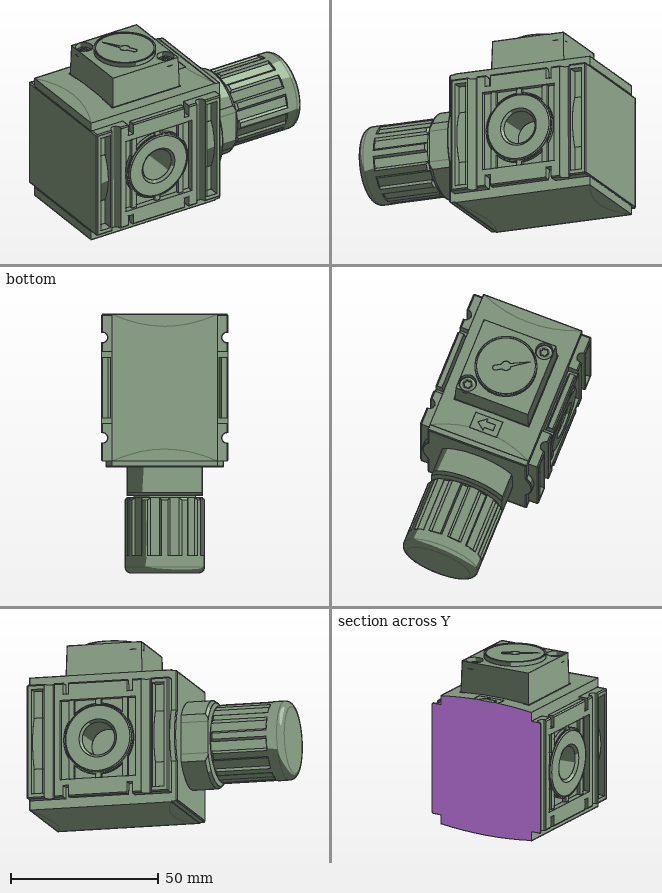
import cadquery as cq
import math


TOTAL_LENGTH = 88.0
TOTAL_WIDTH = 43.0

BODY_HALF_X = 17.95
FRONT_Y = -25.0
BACK_Y = 27.0
CROWN_Z = 24.1
CROWN_DROP = 1.1
CROWN_EDGE_Z = CROWN_Z - CROWN_DROP
BEVEL_LENGTH = 4.1
CAP_DIAMETER = 40.0
BACK_CHAMFER = 0.35
COLLAR_STEP = 0.2
COLLAR_BACK_Z = 22.6

PLATE_HALF_X = TOTAL_WIDTH / 2
PLATE_HALF_Z = 19.8
PLATE_BACK_Y = -FRONT_Y
PLATE_CHAMFER = 0.4
GROOVE_Y = 17.1
GROOVE_RADIUS = 1.8
GROOVE_INSET = 0.35
GROOVE_AXIS_X = PLATE_HALF_X - GROOVE_INSET
SLOT_HEIGHT = 36.3
SLOT_WIDTH = 4.0
SLOT_Y = 21.4
NOTCH_Y = 11.3
NOTCH_WIDTH = 1.9
NOTCH_BOTTOM_Z = 15.8
GAP_TOP_X = 19.4
GAP_FLOOR_X = 18.5
FRONT_GROOVE = 0.4
WINDOW_WIDTH = 26.6
WINDOW_HEIGHT = 27.5
WINDOW_FLOOR_X = 19.45
RIB_TOP_X = 20.7
RIB_WIDTH = 1.85
RAIL_Y = 9.4

PORT_FLANGE_DIAMETER = 24.5
PORT_FACE_DIAMETER = 23.5
PORT_FACE_X = 21.3
PORT_FACE_CHAMFER = 0.4
PORT_BORE = 11.4
PORT_MOUTH = 13.2
PORT_DEPTH = 13.2

BONNET_END_Y = 36.6
BONNET_RADIUS = 15.05
BONNET_CHAMFER_RADIAL = 0.8
BONNET_CHAMFER_AXIAL = 1.1
BONNET_WIDTH = 25.8
BONNET_FLAT_X = BONNET_WIDTH / 2
BONNET_FLAT_HALF_Z = 5.5
BONNET_SIDE_HALF_Z = 8.2
NECK_DIAMETER = 21.0
KNOB_START_Y = 37.4
KNOB_END_Y = FRONT_Y + TOTAL_LENGTH
KNOB_DIAMETER = 27.0
KNOB_RADIUS = KNOB_DIAMETER / 2
KNOB_FILLET = 2.1
KNOB_CHAMFER = 0.7
PANEL_COUNT = 12
PANEL_END_Y = 57.1
PANEL_DEPTH = 0.8
PANEL_FLOOR_RADIUS = KNOB_RADIUS - PANEL_DEPTH
PANEL_FLOOR_WIDTH = 3.3
PANEL_HALF_ANGLE = math.radians(10.5)

GAUGE_TOP_Z = 34.5
GAUGE_TOP_WIDTH = 26.2
GAUGE_BASE_WIDTH = 26.8
GAUGE_POCKET_WIDTH = 27.4
GAUGE_POCKET_Z = 23.2
DIAL_DIAMETER = 21.0
DIAL_INNER_DIAMETER = 20.0
DIAL_TOP_Z = 36.0
DIAL_RECESS = 0.2
NEEDLE_HEIGHT = 0.1
NEEDLE_HUB_RADIUS = 1.7
NEEDLE_TIP = 8.5
NEEDLE_TAIL = 3.7
NEEDLE_TAIL_WIDTH = 1.8
NEEDLE_ROOT_WIDTH = 1.4
NEEDLE_ANGLE = 31
SCREW_OFFSET = 10.0
SCREW_HOLE_DIAMETER = 5.9
SCREW_SEAT_Z = 32.0
SCREW_HEAD_DIAMETER = 5.6
SCREW_HEAD_HEIGHT = 1.2
SCREW_HEAD_FILLET = 1.1
SOCKET_CORE_DIAMETER = 2.3
SOCKET_LOBE_DIAMETER = 0.8
SOCKET_LOBE_OFFSET = 1.1
SOCKET_LOBES = 6
SOCKET_DEPTH = 0.7

PAD_WIDTH = 9.9
PAD_FRONT_Y = 15.6
PAD_BACK_Y = 21.4
PAD_BASE_Z = 22.9
ARROW_DEPTH = 0.1
ARROW_LENGTH = 6.0
ARROW_HEAD_LENGTH = 2.7
ARROW_HEAD_WIDTH = 4.4
ARROW_SHAFT_WIDTH = 2.2


def box(x_min, x_max, y_min, y_max, z_min, z_max):
    corner = cq.Vector(x_min, y_min, z_min)
    solid = cq.Solid.makeBox(x_max - x_min, y_max - y_min, z_max - z_min, corner)
    return cq.Workplane(obj=solid)


def cylinder_y(diameter, y_min, y_max):
    plane = cq.Workplane("XZ", origin=(0, y_min, 0))
    return plane.circle(diameter / 2).extrude(-(y_max - y_min))


def cylinder_x(diameter, x_min, x_max):
    return cq.Workplane("YZ", origin=(x_min, 0, 0)).circle(diameter / 2).extrude(x_max - x_min)


def central_body():
    crowned = (
        cq.Workplane("XZ", origin=(0, FRONT_Y, 0))
        .moveTo(-BODY_HALF_X, -CROWN_EDGE_Z)
        .threePointArc((0, -CROWN_Z), (BODY_HALF_X, -CROWN_EDGE_Z))
        .lineTo(BODY_HALF_X, CROWN_EDGE_Z)
        .threePointArc((0, CROWN_Z), (-BODY_HALF_X, CROWN_EDGE_Z))
        .close()
        .extrude(-(BACK_Y - FRONT_Y))
    )
    collar_front_z = CROWN_EDGE_Z - COLLAR_STEP
    flat_end_y = PLATE_BACK_Y - BEVEL_LENGTH
    bevelled = (
        cq.Workplane("YZ", origin=(-BODY_HALF_X, 0, 0))
        .polyline([
            (FRONT_Y, -CROWN_EDGE_Z),
            (-flat_end_y, -CROWN_Z),
            (flat_end_y, -CROWN_Z),
            (PLATE_BACK_Y, -CROWN_EDGE_Z),
            (PLATE_BACK_Y, -collar_front_z),
            (BACK_Y, -COLLAR_BACK_Z),
            (BACK_Y, COLLAR_BACK_Z),
            (PLATE_BACK_Y, collar_front_z),
            (PLATE_BACK_Y, CROWN_EDGE_Z),
            (flat_end_y, CROWN_Z),
            (-flat_end_y, CROWN_Z),
            (FRONT_Y, CROWN_EDGE_Z),
        ])
        .close()
        .extrude(2 * BODY_HALF_X)
    )
    return crowned.intersect(bevelled).faces(">Y").chamfer(BACK_CHAMFER)


def side_plate():
    """Plate with port on the +X side, without the central body."""
    height = 2 * PLATE_HALF_Z
    plate = box(0, PLATE_HALF_X, FRONT_Y, PLATE_BACK_Y, -PLATE_HALF_Z, PLATE_HALF_Z)
    plate = plate.faces(">X").chamfer(PLATE_CHAMFER)

    for side in (-1, 1):
        groove = (
            cq.Workplane("XY", origin=(0, side * GROOVE_Y, -PLATE_HALF_Z))
            .moveTo(GROOVE_AXIS_X, 0)
            .circle(GROOVE_RADIUS)
            .extrude(height)
        )
        mouth = box(
            GROOVE_AXIS_X, PLATE_HALF_X,
            side * GROOVE_Y - GROOVE_RADIUS, side * GROOVE_Y + GROOVE_RADIUS,
            -PLATE_HALF_Z, PLATE_HALF_Z,
        )
        slot = box(
            BODY_HALF_X, PLATE_HALF_X,
            side * SLOT_Y - SLOT_WIDTH / 2, side * SLOT_Y + SLOT_WIDTH / 2,
            -SLOT_HEIGHT / 2, SLOT_HEIGHT / 2,
        )
        plate = plate.cut(groove).cut(mouth).cut(slot)

    for z_min, z_max in ((NOTCH_BOTTOM_Z, PLATE_HALF_Z), (-PLATE_HALF_Z, -NOTCH_BOTTOM_Z)):
        for side in (-1, 1):
            notch = box(
                BODY_HALF_X, PLATE_HALF_X,
                side * NOTCH_Y - NOTCH_WIDTH / 2, side * NOTCH_Y + NOTCH_WIDTH / 2,
                z_min, z_max,
            )
            plate = plate.cut(notch)

    for side in (-1, 1):
        gap = (
            cq.Workplane("XZ", origin=(0, -NOTCH_Y, 0))
            .polyline([
                (BODY_HALF_X, side * NOTCH_BOTTOM_Z),
                (GAP_FLOOR_X, side * NOTCH_BOTTOM_Z),
                (GAP_TOP_X, side * PLATE_HALF_Z),
                (BODY_HALF_X, side * PLATE_HALF_Z),
            ])
            .close()
            .extrude(-2 * NOTCH_Y)
        )
        plate = plate.cut(gap)

    window = box(
        WINDOW_FLOOR_X, PLATE_HALF_X,
        -WINDOW_WIDTH / 2, WINDOW_WIDTH / 2,
        -WINDOW_HEIGHT / 2, WINDOW_HEIGHT / 2,
    )
    plate = plate.cut(window)
    for rib_y in (-RAIL_Y, 0, RAIL_Y):
        rib = box(
            WINDOW_FLOOR_X, RIB_TOP_X,
            rib_y - RIB_WIDTH / 2, rib_y + RIB_WIDTH / 2,
            -WINDOW_HEIGHT / 2, WINDOW_HEIGHT / 2,
        )
        plate = plate.union(rib)

    plate = plate.union(cylinder_x(PORT_FLANGE_DIAMETER, BODY_HALF_X, RIB_TOP_X))
    face = cylinder_x(PORT_FACE_DIAMETER, RIB_TOP_X, PORT_FACE_X)
    return plate.union(face.faces(">X").chamfer(PORT_FACE_CHAMFER))


def front_groove(side):
    """Bevel along a front edge of the plates, running on across the body."""
    return (
        cq.Workplane("YZ", origin=(-PLATE_HALF_X, 0, 0))
        .polyline([
            (FRONT_Y, side * (PLATE_HALF_Z - FRONT_GROOVE)),
            (FRONT_Y + FRONT_GROOVE, side * PLATE_HALF_Z),
            (FRONT_Y, side * PLATE_HALF_Z),
        ])
        .close()
        .extrude(2 * PLATE_HALF_X)
    )


def port_bore():
    """Blind bore on the +X side with a countersunk mouth."""
    countersink = (PORT_MOUTH - PORT_BORE) / 2
    bottom_x = PORT_FACE_X - PORT_DEPTH
    return (
        cq.Workplane("XY")
        .polyline([
            (bottom_x, 0),
            (bottom_x, PORT_BORE / 2),
            (PORT_FACE_X - countersink, PORT_BORE / 2),
            (PORT_FACE_X, PORT_MOUTH / 2),
            (PORT_FACE_X, 0),
        ])
        .close()
        .revolve(360, (0, 0, 0), (1, 0, 0))
    )


def bonnet():
    """Round collar with a flat and two slightly leaning flanks on each side."""
    chamfer_radius = BONNET_RADIUS - BONNET_CHAMFER_RADIAL
    turned = (
        cq.Workplane("XY")
        .polyline([
            (0, BACK_Y),
            (BONNET_RADIUS, BACK_Y),
            (BONNET_RADIUS, BONNET_END_Y - BONNET_CHAMFER_AXIAL),
            (chamfer_radius, BONNET_END_Y),
            (0, BONNET_END_Y),
        ])
        .close()
        .revolve(360, (0, 0, 0), (0, 1, 0))
    )
    flank_x = math.sqrt(BONNET_RADIUS ** 2 - BONNET_SIDE_HALF_Z ** 2)
    outline = (
        cq.Workplane("XZ", origin=(0, BACK_Y, 0))
        .moveTo(BONNET_FLAT_X, -BONNET_FLAT_HALF_Z)
        .lineTo(BONNET_FLAT_X, BONNET_FLAT_HALF_Z)
        .lineTo(flank_x, BONNET_SIDE_HALF_Z)
        .threePointArc((0, BONNET_RADIUS), (-flank_x, BONNET_SIDE_HALF_Z))
        .lineTo(-BONNET_FLAT_X, BONNET_FLAT_HALF_Z)
        .lineTo(-BONNET_FLAT_X, -BONNET_FLAT_HALF_Z)
        .lineTo(-flank_x, -BONNET_SIDE_HALF_Z)
        .threePointArc((0, -BONNET_RADIUS), (flank_x, -BONNET_SIDE_HALF_Z))
        .close()
        .extrude(-(BONNET_END_Y - BACK_Y))
    )
    return turned.intersect(outline)


def knob():
    """Turned knob with sunken panels whose sides slope down to a flat floor."""
    grip = cylinder_y(KNOB_DIAMETER, KNOB_START_Y, KNOB_END_Y)
    grip = grip.faces(">Y").edges().fillet(KNOB_FILLET)
    grip = grip.faces("<Y").edges().chamfer(KNOB_CHAMFER)

    floor_half_width = PANEL_FLOOR_WIDTH / 2
    rim_half_width = KNOB_RADIUS * math.sin(PANEL_HALF_ANGLE)
    rim_radius = KNOB_RADIUS * math.cos(PANEL_HALF_ANGLE)
    panel = (
        cq.Workplane("XZ", origin=(0, KNOB_START_Y, 0))
        .polyline([
            (PANEL_FLOOR_RADIUS, -floor_half_width),
            (rim_radius, -rim_half_width),
            (KNOB_RADIUS, -rim_half_width),
            (KNOB_RADIUS, rim_half_width),
            (rim_radius, rim_half_width),
            (PANEL_FLOOR_RADIUS, floor_half_width),
        ])
        .close()
        .extrude(-(PANEL_END_Y - KNOB_START_Y))
    )
    pitch = 360 / PANEL_COUNT
    for index in range(PANEL_COUNT):
        grip = grip.cut(panel.rotate((0, 0, 0), (0, 1, 0), (index + 0.5) * pitch))
    return grip


def gauge():
    """Tapered housing with a round dial and a needle in low relief."""
    housing = (
        cq.Workplane("XY", origin=(0, 0, GAUGE_POCKET_Z))
        .rect(GAUGE_BASE_WIDTH, GAUGE_BASE_WIDTH)
        .workplane(offset=GAUGE_TOP_Z - GAUGE_POCKET_Z)
        .rect(GAUGE_TOP_WIDTH, GAUGE_TOP_WIDTH)
        .loft(ruled=True)
    )
    face_z = DIAL_TOP_Z - DIAL_RECESS
    dial = cq.Workplane("XY", origin=(0, 0, GAUGE_TOP_Z)).circle(DIAL_DIAMETER / 2)
    dial = dial.extrude(DIAL_TOP_Z - GAUGE_TOP_Z)
    face = cq.Workplane("XY", origin=(0, 0, face_z))
    dial = dial.cut(face.circle(DIAL_INNER_DIAMETER / 2).extrude(DIAL_RECESS))

    pointer = (
        face.polyline([
            (-NEEDLE_TIP, 0),
            (0, -NEEDLE_ROOT_WIDTH / 2),
            (0, NEEDLE_ROOT_WIDTH / 2),
        ])
        .close()
        .extrude(NEEDLE_HEIGHT)
    )
    hub = face.circle(NEEDLE_HUB_RADIUS).extrude(NEEDLE_HEIGHT)
    tail = (
        face.center(NEEDLE_TAIL / 2, 0)
        .slot2D(NEEDLE_TAIL + NEEDLE_TAIL_WIDTH, NEEDLE_TAIL_WIDTH)
        .extrude(NEEDLE_HEIGHT)
    )
    needle = pointer.union(hub).union(tail).rotate((0, 0, 0), (0, 0, 1), NEEDLE_ANGLE)
    return housing.union(dial).union(needle)


def screw_hole(offset):
    seat = cq.Workplane("XY", origin=(offset, offset, SCREW_SEAT_Z))
    return seat.circle(SCREW_HOLE_DIAMETER / 2).extrude(DIAL_TOP_Z - SCREW_SEAT_Z)


def screw_head(offset):
    """Domed head with a six-lobed socket."""
    seat = cq.Workplane("XY", origin=(offset, offset, SCREW_SEAT_Z))
    head = seat.circle(SCREW_HEAD_DIAMETER / 2).extrude(SCREW_HEAD_HEIGHT)
    head = head.faces(">Z").edges().fillet(SCREW_HEAD_FILLET)
    floor = seat.workplane(offset=SCREW_HEAD_HEIGHT - SOCKET_DEPTH)
    core = floor.circle(SOCKET_CORE_DIAMETER / 2).extrude(SOCKET_DEPTH)
    lobes = (
        floor.polarArray(SOCKET_LOBE_OFFSET, 0, 360, SOCKET_LOBES)
        .circle(SOCKET_LOBE_DIAMETER / 2)
        .extrude(SOCKET_DEPTH)
    )
    return head.cut(core).cut(lobes)


def arrow_pad():
    """Flat pad level with the crown, with a shallow arrow pointing along +X."""
    pad = box(-PAD_WIDTH / 2, PAD_WIDTH / 2, PAD_FRONT_Y, PAD_BACK_Y, PAD_BASE_Z, CROWN_Z)
    neck_x = ARROW_LENGTH / 2 - ARROW_HEAD_LENGTH
    arrow = (
        cq.Workplane("XY", origin=(0, (PAD_FRONT_Y + PAD_BACK_Y) / 2, CROWN_Z - ARROW_DEPTH))
        .polyline([
            (-ARROW_LENGTH / 2, -ARROW_SHAFT_WIDTH / 2),
            (neck_x, -ARROW_SHAFT_WIDTH / 2),
            (neck_x, -ARROW_HEAD_WIDTH / 2),
            (ARROW_LENGTH / 2, 0),
            (neck_x, ARROW_HEAD_WIDTH / 2),
            (neck_x, ARROW_SHAFT_WIDTH / 2),
            (-ARROW_LENGTH / 2, ARROW_SHAFT_WIDTH / 2),
        ])
        .close()
        .extrude(ARROW_DEPTH)
    )
    return pad, arrow


plate = side_plate()
body = central_body().union(plate).union(plate.mirror("YZ"))

for side in (-1, 1):
    body = body.cut(front_groove(side))

slot_inner_y = SLOT_Y - SLOT_WIDTH / 2
slot_outer_y = SLOT_Y + SLOT_WIDTH / 2
body = body.union(cylinder_y(CAP_DIAMETER, -slot_outer_y, -slot_inner_y))
back_cap = cylinder_y(CAP_DIAMETER, slot_inner_y, BACK_Y)
back_cap = back_cap.faces(">Y").edges().chamfer(BACK_CHAMFER)
body = body.union(back_cap)

bore = port_bore()
body = body.cut(bore).cut(bore.mirror("YZ"))

pad, arrow = arrow_pad()
body = body.union(pad).cut(arrow)

half_pocket = GAUGE_POCKET_WIDTH / 2
body = body.cut(box(-half_pocket, half_pocket, -half_pocket, half_pocket, GAUGE_POCKET_Z, CROWN_Z))
body = body.union(gauge())
for offset in (-SCREW_OFFSET, SCREW_OFFSET):
    body = body.cut(screw_hole(offset)).union(screw_head(offset))

body = body.union(bonnet())
body = body.union(cylinder_y(NECK_DIAMETER, BONNET_END_Y, KNOB_START_Y))
result = body.union(knob())